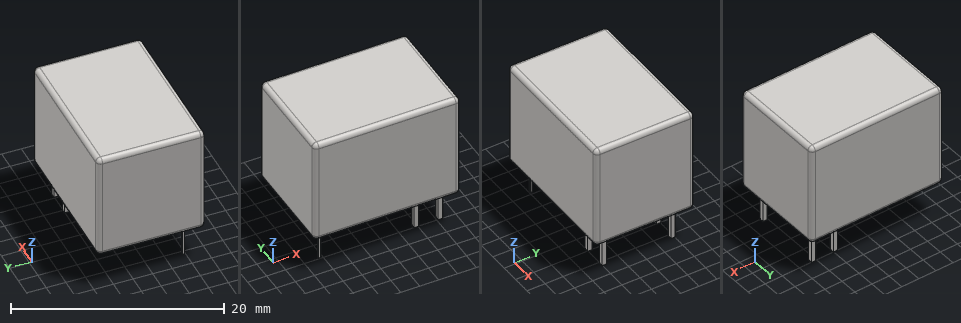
import cadquery as cq

body_length = 15.5
body_width = 11.01
body_height = 11.5
edge_radius = 0.5

overall_height = 15.1
pin_length = overall_height - body_height
contact_pin_side = 0.5
thin_pin_side = 0.22
grid = 2.54
row_spacing_steps = 3
contact_pin_steps = (4, 5)
thin_pin_inset = 1.41

thin_pin_x = -body_length / 2 + thin_pin_inset
contact_pin_xs = [thin_pin_x + steps * grid for steps in contact_pin_steps]
back_row_y = row_spacing_steps * grid / 2
front_row_y = -back_row_y


def make_housing():
    """Block with all its edges rounded."""
    block = cq.Workplane("XY").box(body_length, body_width, body_height, centered=(True, True, False))
    return block.edges().fillet(edge_radius)


def make_pin(x, y, side):
    """Square pin hanging down from the underside of the housing."""
    return cq.Workplane("XY").center(x, y).rect(side, side).extrude(-pin_length)


result = make_housing()

result = result.union(make_pin(thin_pin_x, front_row_y, thin_pin_side))

for row_y in (front_row_y, back_row_y):
    for pin_x in contact_pin_xs:
        result = result.union(make_pin(pin_x, row_y, contact_pin_side))